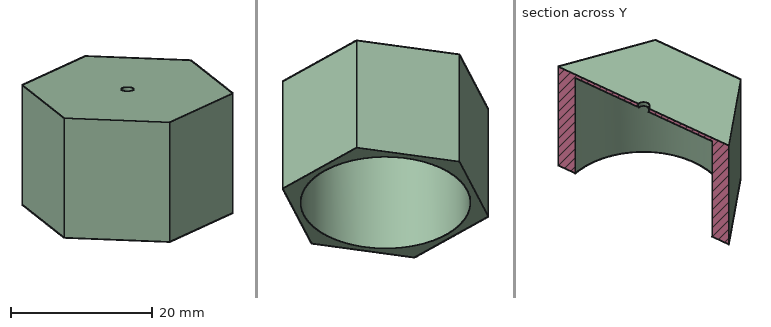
import cadquery as cq

corner_to_corner = 30.02
height = 18.0
hole_diameter = 1.75

top_wall = 0.72
cavity_diameter = 24.02

block = cq.Workplane("XY").polygon(6, corner_to_corner).extrude(height)
cavity = cq.Workplane("XY").circle(cavity_diameter / 2).extrude(height - top_wall)
cap = block.cut(cavity)

result = cap.faces(">Z").workplane().hole(hole_diameter)